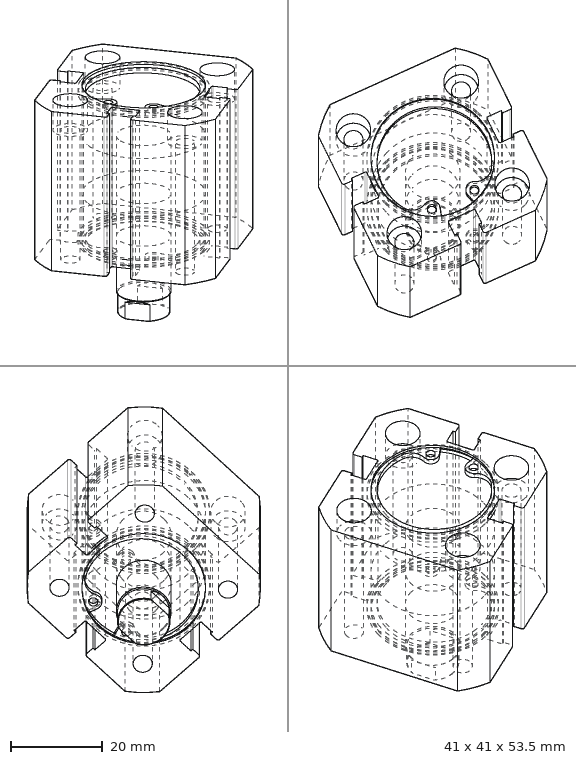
import cadquery as cq
import math

HOUSING_WIDTH = 41.0
TOTAL_HEIGHT = 53.5
HOUSING_HEIGHT = 37.5
CORNER_RADIUS = 25.45
BORE_RADIUS = 13.5

HOLE_PITCH = 26.0
HOLE_DIAMETER = 4.15
COUNTERBORE_DIAMETER = 7.55
COUNTERBORE_DEPTH = 7.0

SLOT_MOUTH_WIDTH = 5.35
SLOT_INNER_WIDTH = 6.55
SLOT_LIP_DEPTH = 2.4
SIDE_SLOT_DEPTH = 6.0
FRONT_SLOT_DEPTH = 5.9
SLOT_MOUTH_FILLET = 0.55
SLOT_FLOOR_FILLET = 0.3

RING_THICKNESS = 1.3
RING_RECESS = 0.65
RING_OUTER_RADIUS = 14.4
RING_INNER_RADIUS = 12.5
RING_INNER_OFFSET = 0.85
LUG_X = 5.15
LUG_Y = 10.4
LUG_RADIUS = 1.85
LUG_HOLE_DIAMETER = 2.0
LUG_BLEND_RADIUS = 3.5

COVER_THICKNESS = 10.0
ROD_RADIUS = 6.0
ROD_TIP_LENGTH = 4.7
SHOULDER_CHAMFER = 0.25
TIP_CHAMFER = 0.15
FLATS_WIDTH = 9.95

HALF_WIDTH = HOUSING_WIDTH / 2
EDGE_TOLERANCE = 0.005
RING_SEAT = RING_RECESS + RING_THICKNESS
RING_BASES = (RING_RECESS, HOUSING_HEIGHT - RING_SEAT)
HEAD_COVER_BASE = HOUSING_HEIGHT - RING_SEAT - COVER_THICKNESS
ROD_BOTTOM = HOUSING_HEIGHT - TOTAL_HEIGHT
TIP_RADIUS = ROD_RADIUS - SHOULDER_CHAMFER


def make_disc(radius, base, height):
    """Solid cylinder on the Z axis."""
    return cq.Workplane("XY").workplane(offset=base).circle(radius).extrude(height)


def make_slot(depth, angle):
    """T-slot cutter over the full height; angle 0 puts the slot on the -Y side."""
    lip = cq.Workplane("XY").rect(SLOT_MOUTH_WIDTH, 2 * SLOT_LIP_DEPTH).extrude(HOUSING_HEIGHT)
    inner_length = depth - SLOT_LIP_DEPTH
    inner = (
        cq.Workplane("XY")
        .center(0, SLOT_LIP_DEPTH + inner_length / 2)
        .rect(SLOT_INNER_WIDTH, inner_length)
        .extrude(HOUSING_HEIGHT)
        .edges("|Z and >Y")
        .fillet(SLOT_FLOOR_FILLET)
    )
    slot = lip.union(inner).translate((0, -HALF_WIDTH, 0))
    return slot.rotate((0, 0, 0), (0, 0, 1), angle)


def is_slot_mouth(edge):
    """True for an upright edge where a slot opens onto the outer face."""
    center = edge.Center()
    mouth_distance = math.hypot(HALF_WIDTH, SLOT_MOUTH_WIDTH / 2)
    return math.isclose(math.hypot(center.x, center.y), mouth_distance, abs_tol=EDGE_TOLERANCE)


def make_housing():
    """Square barrel with T-slots, through bore, ring grooves and counterbored mounting holes."""
    block = cq.Workplane("XY").rect(HOUSING_WIDTH, HOUSING_WIDTH).extrude(HOUSING_HEIGHT)
    body = block.intersect(make_disc(CORNER_RADIUS, 0, HOUSING_HEIGHT))

    for depth, angle in ((FRONT_SLOT_DEPTH, 0), (SIDE_SLOT_DEPTH, 90), (SIDE_SLOT_DEPTH, -90)):
        body = body.cut(make_slot(depth, angle))
    mouth_edges = body.edges("|Z").filter(is_slot_mouth)
    body = mouth_edges.fillet(SLOT_MOUTH_FILLET)

    body = body.cut(make_disc(BORE_RADIUS, 0, HOUSING_HEIGHT))
    for base in RING_BASES:
        body = body.cut(make_disc(RING_OUTER_RADIUS, base, RING_THICKNESS))

    return (
        body.faces(">Z")
        .workplane(origin=(0, 0, HOUSING_HEIGHT))
        .rect(HOLE_PITCH, HOLE_PITCH, forConstruction=True)
        .vertices()
        .cboreHole(HOLE_DIAMETER, COUNTERBORE_DIAMETER, COUNTERBORE_DEPTH)
    )


def polar(center, radius, angle):
    """Point at a radius and angle from a center."""
    return (center[0] + radius * math.cos(angle), center[1] + radius * math.sin(angle))


def direction(start, end):
    """Angle of the line from start to end."""
    return math.atan2(end[1] - start[1], end[0] - start[0])


def mirrored(point):
    """Point reflected to the other side of the YZ plane."""
    return (-point[0], point[1])


def make_retaining_ring(base):
    """Internal retaining ring with its gap and two plier lugs on the -Y side."""
    origin = (0, 0)
    inner_center = (0, -RING_INNER_OFFSET)
    lug = (LUG_X, -LUG_Y)

    lug_distance = math.hypot(*lug)
    gap_angle = direction(origin, lug) - math.asin(LUG_RADIUS / lug_distance)
    gap_outer = polar(origin, RING_OUTER_RADIUS, gap_angle)
    gap_inner = polar(origin, math.sqrt(lug_distance**2 - LUG_RADIUS**2), gap_angle)

    to_lug = LUG_RADIUS + LUG_BLEND_RADIUS
    to_inner = RING_INNER_RADIUS - LUG_BLEND_RADIUS
    span = math.dist(lug, inner_center)
    corner = math.acos((to_lug**2 + span**2 - to_inner**2) / (2 * to_lug * span))
    blend_angle = direction(lug, inner_center) - corner
    blend = polar(lug, to_lug, blend_angle)
    lug_end = polar(lug, LUG_RADIUS, blend_angle)
    inner_angle = direction(inner_center, blend)
    blend_end = polar(inner_center, RING_INNER_RADIUS, inner_angle)

    lug_mid = polar(lug, LUG_RADIUS, (gap_angle + 1.5 * math.pi + blend_angle) / 2)
    blend_mid = polar(blend, LUG_BLEND_RADIUS, (blend_angle - math.pi + inner_angle) / 2)

    ring = (
        cq.Workplane("XY")
        .workplane(offset=base)
        .moveTo(*gap_outer)
        .lineTo(*gap_inner)
        .threePointArc(lug_mid, lug_end)
        .threePointArc(blend_mid, blend_end)
        .threePointArc((0, RING_INNER_RADIUS - RING_INNER_OFFSET), mirrored(blend_end))
        .threePointArc(mirrored(blend_mid), mirrored(lug_end))
        .threePointArc(mirrored(lug_mid), mirrored(gap_inner))
        .lineTo(*mirrored(gap_outer))
        .threePointArc((0, RING_OUTER_RADIUS), gap_outer)
        .close()
        .extrude(RING_THICKNESS)
    )
    lug_holes = (
        cq.Workplane("XY")
        .workplane(offset=base)
        .pushPoints([lug, mirrored(lug)])
        .circle(LUG_HOLE_DIAMETER / 2)
        .extrude(RING_THICKNESS)
    )
    return ring.cut(lug_holes)


def make_head_cover():
    """Plain disc held under the upper retaining ring."""
    return make_disc(BORE_RADIUS, HEAD_COVER_BASE, COVER_THICKNESS)


def make_rod_cover():
    """Disc held above the lower retaining ring, with a hole for the rod."""
    cover = make_disc(BORE_RADIUS, RING_SEAT, COVER_THICKNESS)
    return cover.cut(make_disc(ROD_RADIUS, RING_SEAT, COVER_THICKNESS))


def make_rod():
    """Rod from the head cover down to a thinner tip with two wrench flats facing -Y and +Y."""
    shoulder = ROD_BOTTOM + ROD_TIP_LENGTH
    shank = make_disc(ROD_RADIUS, shoulder, HEAD_COVER_BASE - shoulder)
    shank = shank.faces("<Z").chamfer(SHOULDER_CHAMFER)
    tip = make_disc(TIP_RADIUS, ROD_BOTTOM, ROD_TIP_LENGTH).faces("<Z").chamfer(TIP_CHAMFER)

    half_flats = FLATS_WIDTH / 2
    flat_top = shoulder - (TIP_RADIUS - half_flats)
    flat_profile = [
        (half_flats, ROD_BOTTOM),
        (half_flats, flat_top),
        (TIP_RADIUS, shoulder),
        (TIP_RADIUS, ROD_BOTTOM),
    ]
    cutter = cq.Workplane("YZ").polyline(flat_profile).close().extrude(TIP_RADIUS, both=True)
    tip = tip.cut(cutter).cut(cutter.mirror("XZ"))
    return shank.union(tip)


housing = make_housing()
head_cover = make_head_cover()
rod_cover = make_rod_cover()
rod = make_rod()
retaining_rings = [make_retaining_ring(base) for base in RING_BASES]

result = cq.Compound.makeCompound(
    [
        housing.val(),
        head_cover.val(),
        rod_cover.val(),
        rod.val(),
        *[ring.val() for ring in retaining_rings],
    ]
)